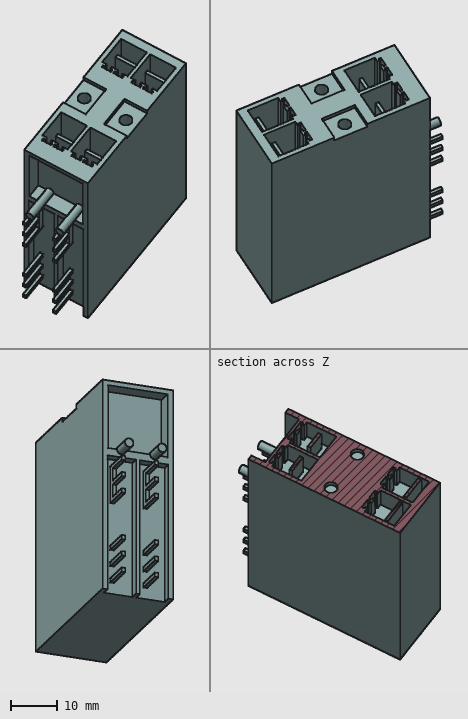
import cadquery as cq


WIDTH = 16.5
DEPTH = 38.7
HEIGHT = 48.9
LANES = (-1, 1)

DIVIDER = 0.9
POCKET_WIDTH = 6.65
POCKET_LENGTH = 7.45
POCKET_DEPTH = 9.8
POCKET_LEDGE = 0.2
REAR_POCKET_BACK = DEPTH - 2.2
ROW_PITCH = 23.6
POCKET_BACKS = (REAR_POCKET_BACK, REAR_POCKET_BACK - ROW_PITCH)

KEY_OFFSETS = (1.8, 4.75)
KEY_NECK_WIDTH = 1.25
KEY_HEAD_WIDTH = 2.35
KEY_NECK_LENGTH = 0.6
KEY_HEAD_LENGTH = 0.6

SEAT_WIDTH = 5.85
SEAT_LENGTH = 8.05
SEAT_DEPTH = 1.0
SCREW_X = 5.4
SCREW_DIAMETER = 2.85
SCREW_DEPTH = 4.9

RECESS_WIDTH = 13.8
RECESS_FLOOR = 33.05
RECESS_TOP = 47.78
RECESS_DEPTH = 3.5
POST_PITCH = 7.75
POST_DIAMETER = 2.0

CHANNEL_TOP = 31.35
CHANNEL_DEPTH = 2.1

SHEET = 0.85
BLADE_TOP = HEIGHT - 3.6
REAR_BLADE_WIDTH = 6.05
FRONT_BLADE_WIDTH = 4.45
REAR_BLADE_X = 3.85
FRONT_BLADE_X = 3.75
REAR_BLADE_Y = DEPTH - 4.35
FRONT_BLADE_Y = DEPTH - 29.25
PIN_PROJECTION = 4.5
PIN_HEIGHT = 1.0
PIN_PITCH = 3.8
PIN_COUNT = 3
PIN_SHIFT = -1.3
LOWER_PIN_Z = 3.15
UPPER_PIN_Z = 21.65
FRONT_PLATE_Y = 0.75
REAR_PLATE_Y = CHANNEL_DEPTH + 0.75


def box(x_range, y_range, z_range):
    """Rectangular block between pairs of coordinates."""
    sizes = [high - low for low, high in (x_range, y_range, z_range)]
    corner = (x_range[0], y_range[0], z_range[0])
    return cq.Workplane("XY").box(*sizes, centered=False).translate(corner)


def span(center, size):
    return (center - size / 2, center + size / 2)


def lane_range(lane, inner, outer):
    """X range between two distances from the mid-plane, on the side given by lane."""
    return tuple(sorted((lane * inner, lane * outer)))


def make_pocket(lane, back):
    """Wiring pocket with its two T-shaped key slots."""
    inner = DIVIDER / 2
    outer = inner + POCKET_WIDTH
    front = back - POCKET_LENGTH
    z_range = (HEIGHT - POCKET_DEPTH, HEIGHT)
    pocket = box(lane_range(lane, inner, outer), (front, back), z_range)

    ledge_outer = outer - KEY_OFFSETS[-1] - KEY_NECK_WIDTH / 2
    ledge = box(lane_range(lane, inner, ledge_outer), (front - POCKET_LEDGE, back), z_range)
    pocket = pocket.union(ledge)

    neck_end = front - KEY_NECK_LENGTH
    for offset in KEY_OFFSETS:
        x = lane * (outer - offset)
        neck = box(span(x, KEY_NECK_WIDTH), (neck_end, back), z_range)
        head = box(span(x, KEY_HEAD_WIDTH), (neck_end - KEY_HEAD_LENGTH, neck_end), z_range)
        pocket = pocket.union(neck).union(head)
    return pocket


def make_screw_seat(lane):
    """Shallow side seat with a blind screw hole."""
    x_range = lane_range(lane, WIDTH / 2 - SEAT_WIDTH, WIDTH / 2)
    seat_floor = HEIGHT - SEAT_DEPTH
    seat = box(x_range, span(DEPTH / 2, SEAT_LENGTH), (seat_floor, HEIGHT))
    hole = (
        cq.Workplane("XY", origin=(lane * SCREW_X, DEPTH / 2, seat_floor))
        .circle(SCREW_DIAMETER / 2)
        .extrude(-SCREW_DEPTH)
    )
    return seat.union(hole)


def make_channel(lane):
    x_range = lane_range(lane, DIVIDER / 2, DIVIDER / 2 + POCKET_WIDTH)
    return box(x_range, (0, CHANNEL_DEPTH), (0, CHANNEL_TOP))


def make_post(lane):
    """Round post from the back of the recess out past the front face."""
    return (
        cq.Workplane("XZ", origin=(lane * POST_PITCH / 2, RECESS_DEPTH, RECESS_FLOOR))
        .circle(POST_DIAMETER / 2)
        .extrude(RECESS_DEPTH + PIN_PROJECTION)
    )


def make_contact(lane, blade_x, blade_y, blade_width, plate_y, first_pin_z):
    """One contact: blade in a wiring pocket, joined by a plate to three front pins."""
    bottom = first_pin_z - PIN_HEIGHT / 2
    top = bottom + (PIN_COUNT - 1) * PIN_PITCH + PIN_HEIGHT
    sheet_x = span(lane * POST_PITCH / 2 + PIN_SHIFT, SHEET)

    blade = box(span(lane * blade_x, blade_width), span(blade_y, SHEET), (bottom, BLADE_TOP))
    plate = box(sheet_x, (plate_y, blade_y), (bottom, top))
    contact = blade.union(plate)
    for index in range(PIN_COUNT):
        pin_z = span(first_pin_z + index * PIN_PITCH, PIN_HEIGHT)
        contact = contact.union(box(sheet_x, (-PIN_PROJECTION, plate_y), pin_z))
    return contact.solids()


def make_rear_contact(lane):
    return make_contact(
        lane, REAR_BLADE_X, REAR_BLADE_Y, REAR_BLADE_WIDTH, REAR_PLATE_Y, LOWER_PIN_Z
    )


def make_front_contact(lane):
    return make_contact(
        lane, FRONT_BLADE_X, FRONT_BLADE_Y, FRONT_BLADE_WIDTH, FRONT_PLATE_Y, UPPER_PIN_Z
    )


def make_housing(contacts):
    """Housing with its posts, and slots that fit the contacts."""
    housing = box(span(0, WIDTH), (0, DEPTH), (0, HEIGHT))
    housing = housing.cut(box(span(0, RECESS_WIDTH), (0, RECESS_DEPTH), (RECESS_FLOOR, RECESS_TOP)))
    for lane in LANES:
        for back in POCKET_BACKS:
            housing = housing.cut(make_pocket(lane, back))
        housing = housing.cut(make_screw_seat(lane))
        housing = housing.cut(make_channel(lane))
        housing = housing.union(make_post(lane))
    for contact in contacts:
        housing = housing.cut(contact)
    return housing.solids()


rear_contacts = [make_rear_contact(lane) for lane in LANES]
front_contacts = [make_front_contact(lane) for lane in LANES]
contacts = rear_contacts + front_contacts
housing = make_housing(contacts)

result = cq.Compound.makeCompound([housing.val(), *[contact.val() for contact in contacts]])